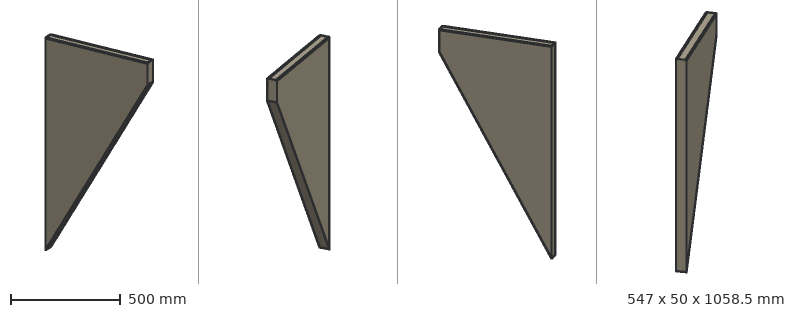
import cadquery as cq
import math

panel_length = 547.0
panel_thickness = 50.0
panel_height = 1058.46
slope_angle = 60.0
slope_rise = panel_length * math.tan(math.radians(slope_angle))

strip_width = 4.5
strip_depth = 3.0
bevel_width = 4.0
bevel_angle = 30.0
bevel_drop = bevel_width * math.tan(math.radians(bevel_angle))

face_y = panel_thickness / 2
strip_inner_y = face_y - strip_width
strip_bottom_z = panel_height - strip_depth


def rebate(side):
    """Square-cornered recess along one top edge; side is +1 for +Y or -1 for -Y."""
    return (
        cq.Workplane("YZ")
        .moveTo(side * strip_inner_y, strip_bottom_z)
        .lineTo(side * face_y, strip_bottom_z)
        .lineTo(side * face_y, panel_height)
        .lineTo(side * strip_inner_y, panel_height)
        .close()
        .extrude(panel_length)
    )


def make_panel():
    """Plate with a vertical edge, a sloping edge and a rebate along both top edges."""
    panel = (
        cq.Workplane("XZ")
        .lineTo(0, panel_height)
        .lineTo(panel_length, panel_height)
        .lineTo(panel_length, slope_rise)
        .close()
        .extrude(panel_thickness / 2, both=True)
    )
    for side in (-1, 1):
        panel = panel.cut(rebate(side))
    return panel


def make_edge_strip(side):
    """Strip that fills one rebate, with its outer top corner bevelled."""
    return (
        cq.Workplane("YZ")
        .moveTo(side * strip_inner_y, strip_bottom_z)
        .lineTo(side * face_y, strip_bottom_z)
        .lineTo(side * face_y, panel_height - bevel_drop)
        .lineTo(side * (face_y - bevel_width), panel_height)
        .lineTo(side * strip_inner_y, panel_height)
        .close()
        .extrude(panel_length)
    )


panel = make_panel()
edge_strips = [make_edge_strip(side) for side in (-1, 1)]

result = cq.Compound.makeCompound([panel.val(), *[strip.val() for strip in edge_strips]])